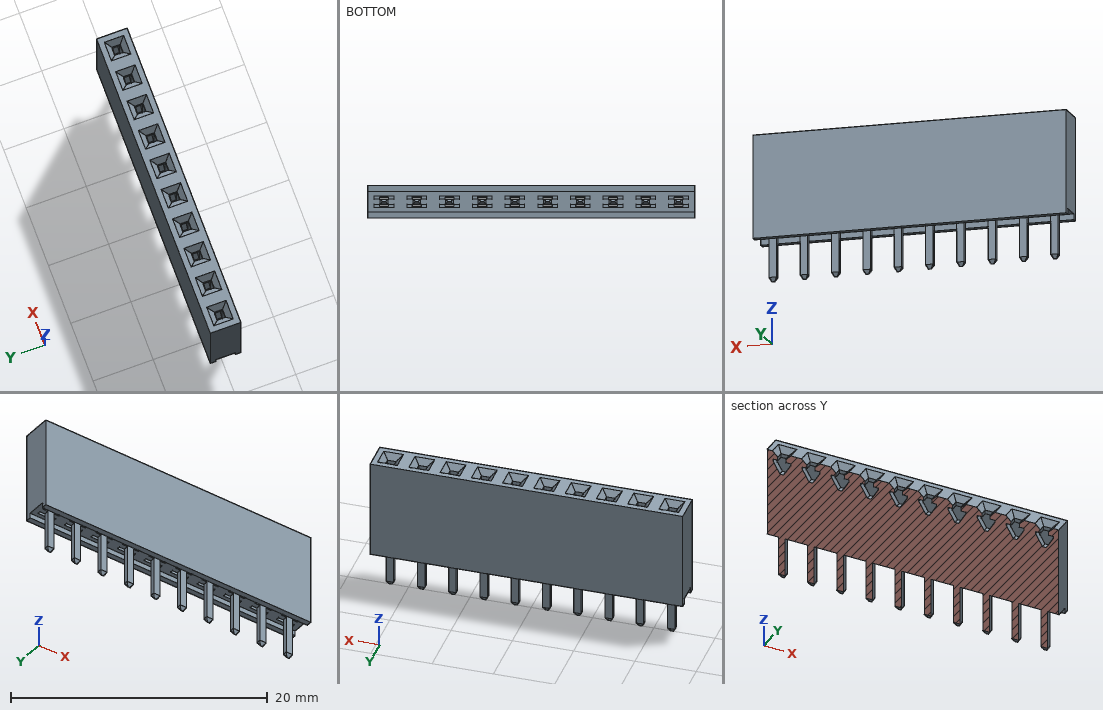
import cadquery as cq

position_count = 10
pitch = 2.55
body_length = position_count * pitch
body_depth = 2.55
overall_height = 11.6
body_height = 8.33
body_bottom = overall_height - body_height

channel_width = 1.6
channel_depth = 0.45
channel_ceiling = body_bottom + channel_depth

lead_in_width = 1.6
lead_in_depth = 0.45
neck_width = 0.69
neck_length = 0.33
neck_top = overall_height - lead_in_depth
cavity_length = 1.52
cavity_depth = 0.91
cavity_top = neck_top - neck_length

contact_thickness = 0.4
blade_clearance = 0.13
blade_top = cavity_top - blade_clearance
notch_floor_width = 0.3
notch_depth = 1.05
notch_floor = blade_top - notch_depth
tail_width = 0.6
tip_height = 0.33
tip_inset = 0.19


def make_block(x, bottom, top, length, depth):
    """Upright box centred at x in the row, between two heights."""
    return cq.Workplane("XY").workplane(offset=bottom).center(x, 0).rect(length, depth).extrude(top - bottom)


def make_frustum(x, bottom, top, bottom_size, top_size):
    """Four-sided taper between two rectangles centred at x in the row."""
    return (
        cq.Workplane("XY")
        .workplane(offset=bottom)
        .center(x, 0)
        .rect(*bottom_size)
        .workplane(offset=top - bottom)
        .rect(*top_size)
        .loft(ruled=True)
    )


def make_body():
    """Rectangular housing with the open channel along its underside."""
    housing = make_block(0, body_bottom, overall_height, body_length, body_depth)
    channel = make_block(0, body_bottom, channel_ceiling, body_length, channel_width)
    return housing.cut(channel)


def make_socket(x):
    """Space to cut for one position, open from the top face to the channel."""
    lead_in = make_frustum(
        x, neck_top, overall_height, (neck_width, neck_width), (lead_in_width, lead_in_width)
    )
    neck = make_block(x, cavity_top, neck_top, neck_width, neck_width)
    cavity = make_block(x, channel_ceiling, cavity_top, cavity_length, cavity_depth)
    return lead_in.union(neck).union(cavity)


def make_contact(x):
    """Blade held between the cavity end walls, with the tail and tip below it."""
    blade = (
        cq.Workplane("XZ")
        .center(x, 0)
        .moveTo(-cavity_length / 2, channel_ceiling)
        .lineTo(-cavity_length / 2, blade_top)
        .lineTo(-notch_floor_width / 2, notch_floor)
        .lineTo(notch_floor_width / 2, notch_floor)
        .lineTo(cavity_length / 2, blade_top)
        .lineTo(cavity_length / 2, channel_ceiling)
        .close()
        .extrude(contact_thickness / 2, both=True)
    )
    tail = make_block(x, tip_height, channel_ceiling, tail_width, contact_thickness)
    tip_size = (tail_width - 2 * tip_inset, contact_thickness - 2 * tip_inset)
    tip = make_frustum(x, 0, tip_height, tip_size, (tail_width, contact_thickness))
    return blade.union(tail).union(tip)


result = make_body()
for index in range(position_count):
    position_x = (index - (position_count - 1) / 2) * pitch
    result = result.cut(make_socket(position_x)).union(make_contact(position_x))